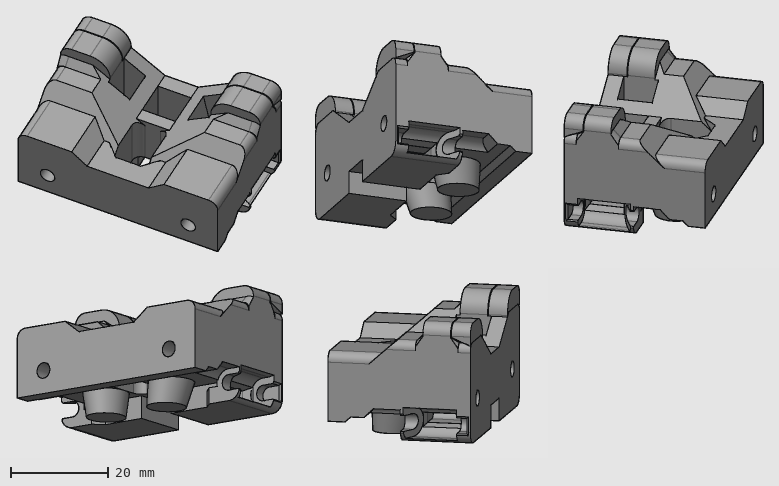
import cadquery as cq
import math

WIDTH = 45.6
DEPTH = 30.05
HEIGHT = 25.75
HALF = WIDTH / 2
MARGIN = 2.3
MID_ARC = math.sqrt(0.5)

SADDLE_Z = 16.05
SADDLE_HALF = 3.8
DECK_Z = 18.75
SHOULDER_Z = 21.7
DECK_R = 2.1
SHOULDER_R = 1.85
SLOT_R = 2.0
DECK_END_X = 10.55
DECK_FOOT_X = 7.03
SHOULDER_END_X = 12.85
INCLINE_FOOT_Y = 8.05
INCLINE_TOP_Y = 14.32
V_RISE = (SHOULDER_Z - SADDLE_Z) / (SHOULDER_END_X - SADDLE_HALF)
INCLINE_RISE = (SHOULDER_Z - SADDLE_Z) / (INCLINE_TOP_Y - INCLINE_FOOT_Y)

FOOT_Z = 4.25
FOOT_DEPTH = 3.6
BELLY_Z = 5.35
BELLY_START_Y = 4.85
KEEL_Y = 15.3
KEEL_Z = 0.55
KEEL_R = 2.65
RELIEF_Y = 7.6
RELIEF_D = 5.75
KEEL_RAMP_X = (15.05, 13.0)
KEEL_RAMP_DEPTH = 2.05
KEEL_STEP_X = 17.0
KEEL_STEP_Z = 3.95

EAR_INNER_X = 11.5
EAR_OUTER_R = 2.5
EAR_INNER_R = 4.55
EAR_FRONT_Y = 20.05
EAR_BACK_Y = 25.85
EAR_GAP = 0.2
CAP_FRONT_Y = EAR_BACK_Y + EAR_GAP
BUTTRESS = 1.6
BUTTRESS_EDGE_DROPS = (1.05, 0.35)
CAP_EDGE_Z = (21.25, 23.0)
CAP_RELIEF_WIDTH = 2.3

SLOT_BACK_Y = 16.5
SLOT_FLARE_X = (2.85, 5.8)
WINDOW_Y = (19.3, 26.7)
SCREW_D = 3.3
SCREW_X = 16.05
SCREW_Z = 9.12

CHUTE_TOP_X = 6.6
CHUTE_LOW_X = 9.2
CHUTE_LOW_Z = 5.47
CHUTE_FLOOR_Z = 3.4

POCKET_Z = 4.43
POCKET_X = 20.03
WIDE_D = 6.3
NARROW_D = 3.3
NARROW_BACK_Y = 29.3
WIDE_BACK_Y = 27.15
WIDE_FRONT_Y = 15.88
WIDE_SLANT = 2.95
NARROW_FLARE = 0.4
WIDE_FLARE = 0.25
NARROW_FLARE_DEPTH = 0.3
WIDE_FLARE_DEPTH = 1.35
PORT_FLARE = 0.55
PORT_OUTER_X = 17.43
PORT_INNER_X = 15.05

LEG_FRONT_Y = 6.1
LEG_FOOT_SIZE = (7.9, 8.6)
LEG_TOP_SIZE = (9.2, 10.25)


def mirrored(shape):
    """The shape together with its mirror image across the middle plane."""
    return shape.union(shape.mirror("YZ"))


def along_y(points, y_start, y_end):
    """Prism with an XZ outline between two Y positions."""
    outline = cq.Workplane("XZ", origin=(0, y_start, 0)).polyline(points).close()
    return outline.extrude(y_start - y_end)


def along_x(points, x_start, x_end):
    """Prism with a YZ outline between two X positions."""
    return cq.Workplane("YZ", origin=(x_start, 0, 0)).polyline(points).close().extrude(x_end - x_start)


def box(x_range, y_range, z_range):
    """Box from its limits along each axis."""
    size = [high - low for low, high in (x_range, y_range, z_range)]
    corner = (x_range[0], y_range[0], z_range[0])
    return cq.Workplane("XY").box(*size, centered=False).translate(corner)


def v_slope_z(x):
    """Height of the V slope at a distance x from the middle."""
    return SADDLE_Z + (x - SADDLE_HALF) * V_RISE


def incline_z(y):
    """Height of the incline at a given depth."""
    return SADDLE_Z + (y - INCLINE_FOOT_Y) * INCLINE_RISE


def shoulder_outline(y, top_z, edge_drop):
    """Left half cross-section under the V slope, at depth y."""
    slope_end = SADDLE_HALF + (top_z - SADDLE_Z) / V_RISE
    mid = (-HALF + SHOULDER_R * (1 - MID_ARC), top_z - edge_drop * (1 - MID_ARC))
    return (
        cq.Workplane("XZ", origin=(0, y, 0))
        .moveTo(0, KEEL_Z)
        .lineTo(-HALF, KEEL_Z)
        .lineTo(-HALF, top_z - edge_drop)
        .threePointArc(mid, (-HALF + SHOULDER_R, top_z))
        .lineTo(-slope_end, top_z)
        .lineTo(0, v_slope_z(0))
        .close()
    )


def front_block():
    outline = [
        (0, FOOT_Z),
        (-HALF, FOOT_Z),
        (-HALF, DECK_Z),
        (-DECK_END_X, DECK_Z),
        (-DECK_FOOT_X, SADDLE_Z),
        (0, SADDLE_Z),
    ]
    deck_end_y = INCLINE_FOOT_Y + (DECK_Z - SADDLE_Z) / INCLINE_RISE
    block = mirrored(along_y(outline, 0, deck_end_y))
    block = block.edges("|Y").edges(">Z").edges("<X or >X").fillet(DECK_R)
    underside = [
        (FOOT_DEPTH, FOOT_Z),
        (BELLY_START_Y, BELLY_Z),
        (deck_end_y, BELLY_Z),
        (deck_end_y, FOOT_Z),
    ]
    block = block.cut(along_x(underside, -HALF, HALF))
    near, far = SLOT_FLARE_X
    flare = [
        (-near, BELLY_START_Y),
        (near, BELLY_START_Y),
        (far, INCLINE_FOOT_Y),
        (far, deck_end_y),
        (-far, deck_end_y),
        (-far, INCLINE_FOOT_Y),
    ]
    return block.cut(cq.Workplane("XY").polyline(flare).close().extrude(HEIGHT))


def rear_block():
    """Body behind the front block: incline, shoulders, V saddle and deep rear block."""
    side = [
        (BELLY_START_Y, BELLY_Z),
        (KEEL_Y, BELLY_Z),
        (KEEL_Y, KEEL_Z),
        (DEPTH, KEEL_Z),
        (DEPTH, SHOULDER_Z),
        (INCLINE_TOP_Y, SHOULDER_Z),
        (BELLY_START_Y, incline_z(BELLY_START_Y)),
    ]
    section = shoulder_outline(0, SHOULDER_Z, SHOULDER_R).extrude(-DEPTH)
    block = along_x(side, -HALF, HALF).intersect(mirrored(section))
    bridges = box((-SADDLE_HALF, SADDLE_HALF), (SLOT_BACK_Y, DEPTH), (BELLY_Z, SADDLE_Z))
    return block.union(bridges)


def ear(y_start, y_end):
    """Left ear, from the V slope up to the top."""
    outline = [
        (-HALF, SADDLE_Z),
        (-HALF, HEIGHT),
        (-EAR_INNER_X, HEIGHT),
        (-EAR_INNER_X, v_slope_z(EAR_INNER_X)),
    ]
    block = along_y(outline, y_start, y_end)
    block = block.edges("|Y").edges(">Z").edges("<X").fillet(EAR_OUTER_R)
    return block.edges("|Y").edges(">Z").edges(">X").fillet(EAR_INNER_R)


def buttress(base_y, ear_y):
    """Sloped flank that joins the left ear to the shoulder."""
    base_drop, top_drop = BUTTRESS_EDGE_DROPS
    base = shoulder_outline(base_y, SHOULDER_Z, base_drop).val()
    top = shoulder_outline(ear_y, SHOULDER_Z + BUTTRESS, top_drop).val()
    return cq.Workplane(cq.Solid.makeLoft([base, top], True))


def left_ear_base():
    """Left ear with its front and back flanks."""
    front = buttress(EAR_FRONT_Y - BUTTRESS, EAR_FRONT_Y)
    back = buttress(EAR_BACK_Y + BUTTRESS, EAR_BACK_Y)
    above_saddle = box((-HALF, -SADDLE_HALF), (0, DEPTH), (SADDLE_Z, HEIGHT))
    return ear(EAR_FRONT_Y, EAR_BACK_Y).union(front.union(back).intersect(above_saddle))


def leg():
    """Left tapered leg with an elliptic section; its front and inner sides stay upright."""

    def ring(size, z):
        size_x, size_y = size
        center = (-SADDLE_HALF - size_x / 2, LEG_FRONT_Y + size_y / 2, z)
        return cq.Workplane("XY", origin=center).ellipse(size_x / 2, size_y / 2).wires().val()

    return cq.Workplane(cq.Solid.makeLoft([ring(LEG_FOOT_SIZE, 0), ring(LEG_TOP_SIZE, BELLY_Z)], True))


def middle_openings():
    """Rounded slot and square window through the saddle, and the gap below them."""
    x_range = (-SADDLE_HALF, SADDLE_HALF)
    near, far = SLOT_FLARE_X
    bevel = (SADDLE_HALF - near) * (INCLINE_FOOT_Y - BELLY_START_Y) / (far - near)
    slot_points = [
        (-near, BELLY_START_Y),
        (near, BELLY_START_Y),
        (SADDLE_HALF, BELLY_START_Y + bevel),
        (SADDLE_HALF, SLOT_BACK_Y),
        (-SADDLE_HALF, SLOT_BACK_Y),
        (-SADDLE_HALF, BELLY_START_Y + bevel),
    ]
    slot = cq.Workplane("XY").polyline(slot_points).close().extrude(HEIGHT)
    slot = slot.edges("|Z").edges(">Y").fillet(SLOT_R)
    window = box(x_range, WINDOW_Y, (0, HEIGHT))
    gap = box(x_range, (BELLY_START_Y, DEPTH), (0, BELLY_Z))
    return slot.union(window).union(gap)


def left_chute():
    """Passage from the left V slope down to the side pocket."""
    rise = v_slope_z(CHUTE_TOP_X)
    lean = (CHUTE_TOP_X - CHUTE_LOW_X) / (rise - CHUTE_LOW_Z)
    top_x = CHUTE_TOP_X + lean * (SHOULDER_Z - rise)
    y_front, y_back = WINDOW_Y
    floor_r = CHUTE_LOW_Z - CHUTE_FLOOR_Z
    passage = (
        cq.Workplane("XZ", origin=(0, y_front, 0))
        .moveTo(-EAR_INNER_X, SHOULDER_Z)
        .lineTo(-top_x, SHOULDER_Z)
        .lineTo(-CHUTE_LOW_X, CHUTE_LOW_Z)
        .threePointArc(
            (-CHUTE_LOW_X - floor_r * (1 - MID_ARC), CHUTE_LOW_Z - floor_r * MID_ARC),
            (-CHUTE_LOW_X - floor_r, CHUTE_FLOOR_Z),
        )
        .lineTo(-PORT_INNER_X, CHUTE_FLOOR_Z)
        .lineTo(-PORT_INNER_X, CHUTE_LOW_Z)
        .lineTo(-EAR_INNER_X, CHUTE_LOW_Z)
        .close()
        .extrude(y_front - y_back)
    )
    center = ((y_front + y_back) / 2, POCKET_Z)
    length = y_back - y_front
    height = CHUTE_LOW_Z - CHUTE_FLOOR_Z
    port = (
        cq.Workplane("YZ", origin=(-PORT_INNER_X, 0, 0))
        .center(*center)
        .rect(length, height)
        .workplane(offset=PORT_INNER_X - PORT_OUTER_X)
        .rect(length + 2 * PORT_FLARE, height + 2 * PORT_FLARE)
        .loft(ruled=True)
    )
    return passage.union(port)


def round_ended_slot(diameter, y_start, y_end):
    """Slot in the left side with a half-round inner end, running along Y."""
    half = diameter / 2
    outline = (
        cq.Workplane("XZ", origin=(0, y_start, 0))
        .moveTo(-HALF - MARGIN, POCKET_Z - half)
        .lineTo(-POCKET_X, POCKET_Z - half)
        .threePointArc((-POCKET_X + half, POCKET_Z), (-POCKET_X, POCKET_Z + half))
        .lineTo(-HALF - MARGIN, POCKET_Z + half)
        .close()
    )
    return outline.extrude(y_start - y_end)


def flared_mouth(height, y_start, y_end, flare_z, flare_y, depth):
    """Widening of a slot where it meets the left side face."""
    length = y_end - y_start
    return (
        cq.Workplane("YZ", origin=(-HALF, 0, 0))
        .center(y_start + length / 2, POCKET_Z)
        .rect(length + 2 * flare_y, height + 2 * flare_z)
        .workplane(offset=depth)
        .rect(length, height)
        .loft(ruled=True)
    )


def left_pocket():
    """Narrow slot and wide step with flared mouths; the wide step has a slanted front end."""
    narrow = round_ended_slot(NARROW_D, KEEL_Y, NARROW_BACK_Y)
    narrow_mouth = flared_mouth(
        NARROW_D, KEEL_Y, NARROW_BACK_Y, NARROW_FLARE, NARROW_FLARE, NARROW_FLARE_DEPTH
    )
    back_x = -POCKET_X + WIDE_D / 2
    plan = [
        (-HALF, WIDE_FRONT_Y),
        (back_x, WIDE_FRONT_Y + WIDE_SLANT),
        (back_x, WIDE_BACK_Y),
        (-HALF, WIDE_BACK_Y),
    ]
    limits = cq.Workplane("XY").polyline(plan).close().extrude(HEIGHT)
    wide_mouth = flared_mouth(WIDE_D, WIDE_FRONT_Y, WIDE_BACK_Y, WIDE_FLARE, 0, WIDE_FLARE_DEPTH)
    wide = round_ended_slot(WIDE_D, WIDE_FRONT_Y, WIDE_BACK_Y).union(wide_mouth).intersect(limits)
    return narrow.union(narrow_mouth).union(wide)


def left_belly_relief():
    """Hollow along the lower left edge of the belly; its front end leans back going up."""
    groove = round_ended_slot(RELIEF_D, RELIEF_Y, KEEL_Y)
    top_z = POCKET_Z + RELIEF_D / 2
    limits = [
        (RELIEF_Y, BELLY_Z),
        (RELIEF_Y + top_z - BELLY_Z, top_z),
        (KEEL_Y, top_z),
        (KEEL_Y, BELLY_Z),
    ]
    return groove.intersect(along_x(limits, -HALF - MARGIN, 0))


def left_keel_rounding():
    """Waste outside the rounding of the lower left edge of the rear block."""
    axis_x = -HALF + KEEL_R
    axis_z = KEEL_Z + KEEL_R
    corner = box((-HALF, axis_x), (KEEL_Y, DEPTH), (KEEL_Z, axis_z))
    rounding = cq.Workplane("XZ", origin=(axis_x, KEEL_Y, axis_z)).circle(KEEL_R)
    return corner.cut(rounding.extrude(KEEL_Y - DEPTH))


def left_keel_recess():
    """Recess in the front of the rear block: slanted outer wall below, wider step above."""
    outer, inner = KEEL_RAMP_X
    back_y = KEEL_Y + KEEL_RAMP_DEPTH
    plan = [
        (-outer, KEEL_Y),
        (-inner, back_y),
        (-SADDLE_HALF, back_y),
        (-SADDLE_HALF, KEEL_Y),
    ]
    lower = cq.Workplane("XY").polyline(plan).close().extrude(KEEL_STEP_Z)
    upper = box((-KEEL_STEP_X, -SADDLE_HALF), (KEEL_Y, back_y), (KEEL_STEP_Z, BELLY_Z))
    return lower.union(upper)


def left_screw_hole():
    start = cq.Workplane("XZ", origin=(-SCREW_X, 0, SCREW_Z))
    return start.circle(SCREW_D / 2).extrude(-DEPTH)


def build_housing():
    body = front_block().union(rear_block())
    body = body.union(mirrored(left_ear_base()))
    body = body.cut(middle_openings())
    body = body.cut(mirrored(left_keel_recess()))
    body = body.cut(mirrored(left_belly_relief()))
    body = body.cut(mirrored(left_keel_rounding()))
    body = body.union(mirrored(leg()))
    body = body.cut(mirrored(left_chute()))
    body = body.cut(mirrored(left_pocket()))
    return body.cut(mirrored(left_screw_hole()))


def build_left_cap(housing):
    """Cap behind the left ear; it sits on the shoulder and the back flank."""
    cap = ear(CAP_FRONT_Y, DEPTH).cut(housing)
    back_z, slit_z = CAP_EDGE_Z
    inner_x = -HALF + CAP_RELIEF_WIDTH

    def section(x, front_z):
        points = [
            (x, DEPTH, back_z),
            (x, CAP_FRONT_Y, front_z),
            (x, CAP_FRONT_Y, SADDLE_Z),
            (x, DEPTH, SADDLE_Z),
        ]
        return cq.Wire.makePolygon([cq.Vector(*point) for point in points], close=True)

    relief = cq.Solid.makeLoft([section(-HALF, slit_z), section(inner_x, back_z)], True)
    return cap.cut(cq.Workplane(relief))


housing = build_housing()
left_cap = build_left_cap(housing)
caps = [left_cap, left_cap.mirror("YZ")]
result = cq.Compound.makeCompound([housing.val(), *[cap.val() for cap in caps]])